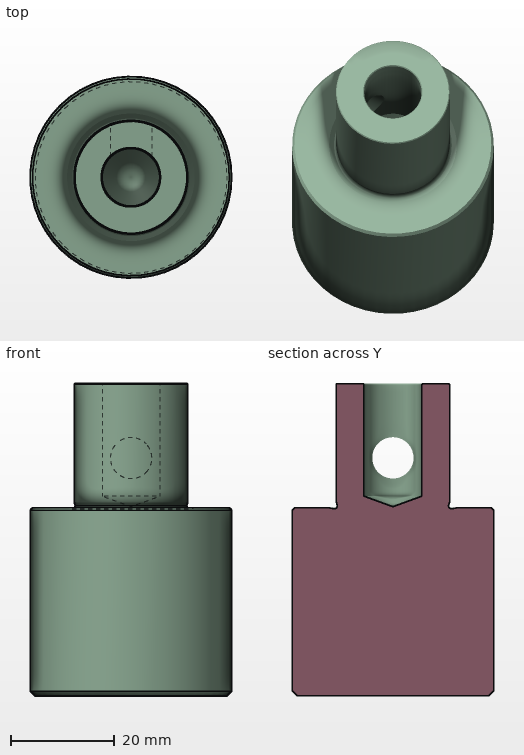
import cadquery as cq
import math

total_height = 60.4
body_radius = 19.49
shank_radius = 11.0
shank_length = 24.0
shoulder_z = total_height - shank_length

bottom_chamfer = 0.95
shoulder_chamfer = 0.5
shank_chamfer = 0.2

undercut_depth = 0.21
undercut_top = 1.0
undercut_ramp = 0.65
undercut_outer_radius = 12.3
corner_radius = 0.6

bore_radius = 5.55
bore_chamfer = 0.2
bore_depth = 21.75
drill_point_angle = 140.0

side_hole_radius = 4.0
side_hole_drop = 14.4


def make_outer_body():
    """Turned body and shank, including the undercut."""
    neck_radius = shank_radius - undercut_depth
    floor_z = shoulder_z - undercut_depth
    undercut_top_z = shoulder_z + undercut_top
    arc_center_x = neck_radius + corner_radius
    arc_center_z = floor_z + corner_radius
    arc_offset = corner_radius * math.sqrt(0.5)
    return (
        cq.Workplane("XZ")
        .lineTo(body_radius - bottom_chamfer, 0)
        .lineTo(body_radius, bottom_chamfer)
        .lineTo(body_radius, shoulder_z - shoulder_chamfer)
        .lineTo(body_radius - shoulder_chamfer, shoulder_z)
        .lineTo(undercut_outer_radius, shoulder_z)
        .lineTo(arc_center_x, floor_z)
        .threePointArc(
            (arc_center_x - arc_offset, arc_center_z - arc_offset),
            (neck_radius, arc_center_z),
        )
        .lineTo(neck_radius, undercut_top_z - undercut_ramp)
        .lineTo(shank_radius, undercut_top_z)
        .lineTo(shank_radius, total_height - shank_chamfer)
        .lineTo(shank_radius - shank_chamfer, total_height)
        .lineTo(0, total_height)
        .close()
        .revolve(360, (0, 0, 0), (0, 1, 0))
    )


def make_bore():
    """Blind axial bore with a chamfered mouth and a conical drill point."""
    bore_end_z = total_height - bore_depth
    point_height = bore_radius / math.tan(math.radians(drill_point_angle / 2))
    return (
        cq.Workplane("XZ")
        .moveTo(0, total_height)
        .lineTo(bore_radius + bore_chamfer, total_height)
        .lineTo(bore_radius, total_height - bore_chamfer)
        .lineTo(bore_radius, bore_end_z)
        .lineTo(0, bore_end_z - point_height)
        .close()
        .revolve(360, (0, 0, 0), (0, 1, 0))
    )


def make_side_hole():
    """Radial hole running from the axis out through the +Y side."""
    return (
        cq.Workplane("XZ")
        .center(0, total_height - side_hole_drop)
        .circle(side_hole_radius)
        .extrude(-body_radius)
    )


result = make_outer_body().cut(make_bore()).cut(make_side_hole())